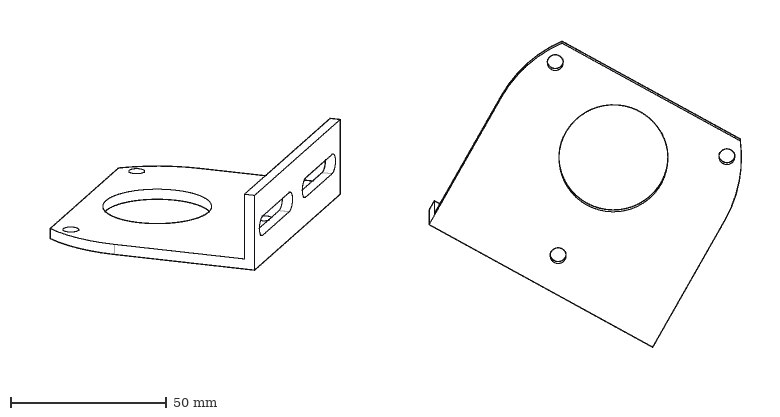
import cadquery as cq
import math

length = 72.9
width = 82.55
height = 25.4
thickness = 3.5

bore_diameter = 35.1
bore_to_free_edge = 24.9
bolt_circle_radius = 36.6
bolt_hole_diameter = 5.1
bolt_hole_count = 3

slot_length = 31.9
slot_width = 6.5
slot_spacing = width / 2

free_edge_x = -bore_to_free_edge
wall_outer_x = free_edge_x + length
corner_radius = width / 2


def base_plate():
    """Plate whose free-end corners follow a circle concentric with the bore."""
    half_width = width / 2
    free_edge_half = math.sqrt(corner_radius**2 - bore_to_free_edge**2)
    mid_angle = (math.pi / 2 + math.atan2(free_edge_half, free_edge_x)) / 2
    mid_x = corner_radius * math.cos(mid_angle)
    mid_y = corner_radius * math.sin(mid_angle)
    return (
        cq.Workplane("XY")
        .moveTo(wall_outer_x, -half_width)
        .lineTo(wall_outer_x, half_width)
        .lineTo(0, half_width)
        .threePointArc((mid_x, mid_y), (free_edge_x, free_edge_half))
        .lineTo(free_edge_x, -free_edge_half)
        .threePointArc((mid_x, -mid_y), (0, -half_width))
        .close()
        .extrude(thickness)
    )


def upright_wall():
    return (
        cq.Workplane("XY")
        .box(thickness, width, height, centered=(False, True, False))
        .translate((wall_outer_x - thickness, 0, 0))
    )


def plate_holes():
    """Central bore and the bolt holes equally spaced around it."""
    bore = cq.Workplane("XY").circle(bore_diameter / 2).extrude(thickness)
    bolt_holes = (
        cq.Workplane("XY")
        .polarArray(bolt_circle_radius, 0, 360, bolt_hole_count)
        .circle(bolt_hole_diameter / 2)
        .extrude(thickness)
    )
    return bore.union(bolt_holes)


def wall_slots():
    """Two horizontal slots through the wall, at half the overall height."""
    return (
        cq.Workplane("YZ", origin=(wall_outer_x - thickness, 0, height / 2))
        .pushPoints([(-slot_spacing / 2, 0), (slot_spacing / 2, 0)])
        .slot2D(slot_length, slot_width)
        .extrude(thickness)
    )


result = base_plate().union(upright_wall()).cut(plate_holes()).cut(wall_slots())